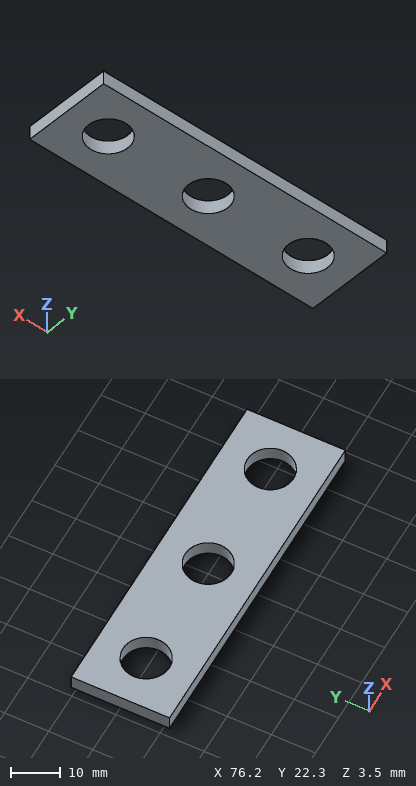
import cadquery as cq

length = 76.2
width = 22.3
thickness = 3.5

hole_diameter = 10.45
hole_count = 3
hole_pitch = 26.9

bar = cq.Workplane("XY").box(length, width, thickness)

result = (
    bar.faces(">Z")
    .workplane()
    .rarray(hole_pitch, 0.8, hole_count, 1)
    .hole(hole_diameter)
)